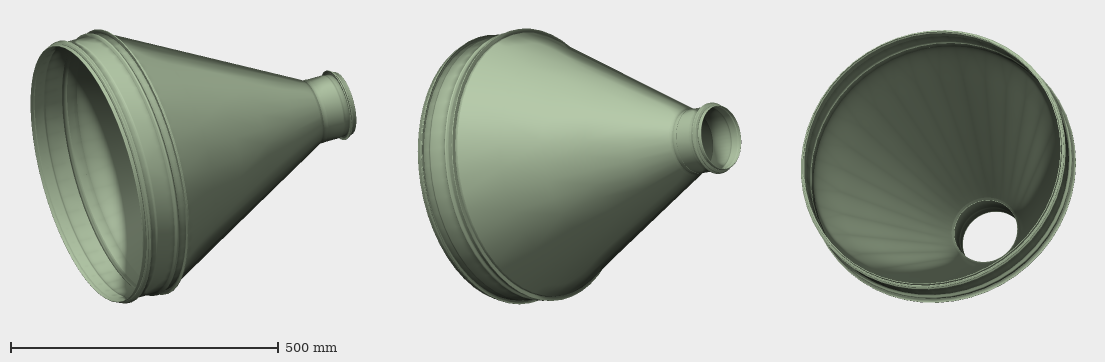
import cadquery as cq
import math

LENGTH = 529.5
WALL = 0.5

WIDE_DIA = 497.5
NARROW_DIA = 122.0
NECK_DIA = NARROW_DIA + 2 * WALL
CONE_START_DIA = 129.5
FLANGE_DIA = 513.5

SEAM_Y = 89.5
FLANGE_THICKNESS = 0.8
SKIRT_TOP_Y = 96.0
CONE_TOP_Y = 456.5
BEVEL_TOP_Y = 461.5
NECK_TOP_Y = 470.5

BEAD_Y = 70.5
BEAD_HALF_WIDTH = 5.5
CROWN_HALF_WIDTH = 2.0
CROWN_BASE_DIA = 506.0
BEAD_DIA = 508.0

WIDE_GROOVE_DIA = 494.0
NARROW_GROOVE_DIA = 119.0
GROOVE_START = 6.5
GROOVE_STEP = 1.5
GROOVE_RAMP = 5.5
END_CURL_LENGTH = 1.5
END_CURL_DEPTH = 1.0
WIDE_GROOVE_END = 26.0
NARROW_GROOVE_END = 21.0

GASKET_START = GROOVE_START + GROOVE_STEP
SHORT_LIP_TIP = 11.0
TALL_LIP_TIP = 15.5
GASKET_END = 14.0
LIP_TIP_WIDTH = 1.5
LIP_ROOT_HEIGHT = 2.0
WIDE_SHORT_LIP_DIA = 504.0
WIDE_TALL_LIP_DIA = 508.0
NARROW_SHORT_LIP_DIA = 129.5
NARROW_TALL_LIP_DIA = 134.5


def revolve(sketch):
    return sketch.close().revolve(360, (0, 0, 0), (0, 1, 0))


def filled_turning(segments, radial_shift):
    """Solid of revolution between the Y axis and an outline of (radius, y) points.

    The first segment is the start point. Each later segment is one point for
    a line, or two points (on the arc, then its end) for an arc.
    """
    shifted = [[(radius + radial_shift, y) for radius, y in segment] for segment in segments]
    start = shifted[0][0]
    sketch = cq.Workplane("XY").moveTo(0, start[1]).lineTo(*start)
    for segment in shifted[1:]:
        if len(segment) == 1:
            sketch = sketch.lineTo(*segment[0])
        else:
            sketch = sketch.threePointArc(*segment)
    end_y = shifted[-1][-1][1]
    return revolve(sketch.lineTo(0, end_y))


def sheet_tube(segments):
    """Thin tube whose outer face follows the outline."""
    return filled_turning(segments, 0).cut(filled_turning(segments, -WALL))


def flange(bottom_y):
    """Flat seam ring whose lower face is at bottom_y."""
    inner_radius = WIDE_DIA / 2 - WALL
    top_y = bottom_y + FLANGE_THICKNESS
    outer_radius = FLANGE_DIA / 2
    outline = [
        (inner_radius, bottom_y),
        (outer_radius, bottom_y),
        (outer_radius, top_y),
        (inner_radius, top_y),
    ]
    return revolve(cq.Workplane("XY").polyline(outline))


def grooved_end(outer_dia, groove_dia, groove_end):
    """Outline of an open collar end at Y = 0, with its gasket groove."""
    radius = outer_dia / 2
    floor = groove_dia / 2
    depth = radius - floor
    curl_middle = (
        radius - END_CURL_DEPTH * (1 - math.sin(math.pi / 4)),
        END_CURL_LENGTH * (1 - math.cos(math.pi / 4)),
    )
    ramp_lower = (floor + depth / 8, groove_end + GROOVE_RAMP / 4)
    ramp_middle = (floor + depth / 2, groove_end + GROOVE_RAMP / 2)
    ramp_upper = (radius - depth / 8, groove_end + GROOVE_RAMP * 3 / 4)
    return [
        [(radius - END_CURL_DEPTH, 0)],
        [curl_middle, (radius, END_CURL_LENGTH)],
        [(radius, GROOVE_START)],
        [(floor, GROOVE_START + GROOVE_STEP)],
        [(floor, groove_end)],
        [ramp_lower, ramp_middle],
        [ramp_upper, (radius, groove_end + GROOVE_RAMP)],
    ]


def bead_outline():
    """Outline of the bead: two straight flanks with a round crown."""
    radius = WIDE_DIA / 2
    crown_base = CROWN_BASE_DIA / 2
    return [
        [(radius, BEAD_Y - BEAD_HALF_WIDTH)],
        [(crown_base, BEAD_Y - CROWN_HALF_WIDTH)],
        [(BEAD_DIA / 2, BEAD_Y), (crown_base, BEAD_Y + CROWN_HALF_WIDTH)],
        [(radius, BEAD_Y + BEAD_HALF_WIDTH)],
    ]


def make_gasket(collar_dia, groove_dia, short_lip_dia, tall_lip_dia):
    """Gasket seated in the groove of a collar whose open end is at Y = 0."""
    root = collar_dia / 2
    floor = groove_dia / 2
    short_lip = short_lip_dia / 2
    tall_lip = tall_lip_dia / 2
    return revolve(cq.Workplane("XY").polyline([
        (floor, GASKET_START),
        (root, GASKET_START),
        (short_lip, SHORT_LIP_TIP - LIP_TIP_WIDTH),
        (short_lip, SHORT_LIP_TIP),
        (root + LIP_ROOT_HEIGHT, SHORT_LIP_TIP),
        (tall_lip, TALL_LIP_TIP - LIP_TIP_WIDTH),
        (tall_lip, TALL_LIP_TIP),
        (root + LIP_ROOT_HEIGHT, GASKET_END),
        (floor, GASKET_END),
    ]))


def move_to_narrow_end(body):
    return body.mirror("XZ").translate((0, LENGTH, 0))


def make_wide_collar():
    open_end = grooved_end(WIDE_DIA, WIDE_GROOVE_DIA, WIDE_GROOVE_END)
    outline = open_end + bead_outline() + [[(WIDE_DIA / 2, SEAM_Y)]]
    return sheet_tube(outline).union(flange(SEAM_Y - FLANGE_THICKNESS))


def make_narrow_collar():
    open_end = grooved_end(NARROW_DIA, NARROW_GROOVE_DIA, NARROW_GROOVE_END)
    outline = open_end + [[(NARROW_DIA / 2, LENGTH - BEVEL_TOP_Y)]]
    return move_to_narrow_end(sheet_tube(outline))


def make_cone():
    outline = [
        [(WIDE_DIA / 2, SEAM_Y)],
        [(WIDE_DIA / 2, SKIRT_TOP_Y)],
        [(CONE_START_DIA / 2, CONE_TOP_Y)],
        [(NECK_DIA / 2, BEVEL_TOP_Y)],
        [(NECK_DIA / 2, NECK_TOP_Y)],
    ]
    return sheet_tube(outline).union(flange(SEAM_Y))


wide_collar = make_wide_collar()
cone = make_cone()
narrow_collar = make_narrow_collar()
wide_gasket = make_gasket(WIDE_DIA, WIDE_GROOVE_DIA, WIDE_SHORT_LIP_DIA, WIDE_TALL_LIP_DIA)
narrow_gasket = move_to_narrow_end(
    make_gasket(NARROW_DIA, NARROW_GROOVE_DIA, NARROW_SHORT_LIP_DIA, NARROW_TALL_LIP_DIA)
)

result = cq.Compound.makeCompound([
    wide_collar.val(),
    cone.val(),
    narrow_collar.val(),
    wide_gasket.val(),
    narrow_gasket.val(),
])